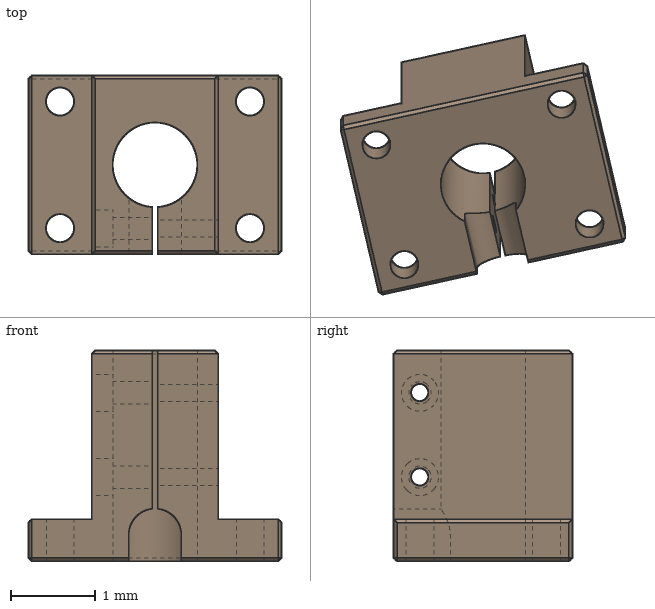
import cadquery as cq

length = 3.0
depth = 2.12
height = 2.5
base_height = 0.5
tower_width = length / 2
edge_chamfer = 0.042

bore_diameter = length / 3
slit_width = 0.06
relief_width = 0.625
relief_height = 0.625

mount_diameter = 0.33
mount_spacing_x = 2.25
mount_spacing_y = 1.5

screw_y = -mount_spacing_y / 2
screw_heights = (height * 2 / 5, height * 4 / 5)
head_diameter = 0.438
head_depth = 0.25
clearance_diameter = 0.265
thread_diameter = 0.2

FROM_BOTTOM = (True, True, False)


def make_body():
    """Flange and tower, chamfered around the end faces, the underside and the top."""
    base = cq.Workplane("XY").box(length, depth, base_height, centered=FROM_BOTTOM)
    base = base.faces("<X or >X or <Z").edges().chamfer(edge_chamfer)
    tower = cq.Workplane("XY").box(tower_width, depth, height, centered=FROM_BOTTOM)
    tower = tower.faces(">Z").edges().chamfer(edge_chamfer)
    tower = tower.faces("<Z").edges("|X").chamfer(edge_chamfer)
    return base.union(tower)


def make_bore():
    return cq.Workplane("XY").circle(bore_diameter / 2).extrude(height)


def make_slit():
    """Narrow cut from the front face into the bore."""
    return cq.Workplane("XY").box(
        slit_width, depth / 2, height, centered=FROM_BOTTOM
    ).translate((0, -depth / 4, 0))


def make_relief():
    """Round-topped opening from the front face into the bore."""
    half_width = relief_width / 2
    spring_height = relief_height - half_width
    return (
        cq.Workplane("XZ")
        .moveTo(-half_width, 0)
        .lineTo(-half_width, spring_height)
        .threePointArc((0, relief_height), (half_width, spring_height))
        .lineTo(half_width, 0)
        .close()
        .extrude(depth / 2)
    )


def make_mount_holes():
    return (
        cq.Workplane("XY")
        .rect(mount_spacing_x, mount_spacing_y, forConstruction=True)
        .vertices()
        .circle(mount_diameter / 2)
        .extrude(base_height)
    )


def screw_cylinder(z, diameter, start_x, end_x):
    return (
        cq.Workplane("YZ", origin=(start_x, screw_y, z))
        .circle(diameter / 2)
        .extrude(end_x - start_x)
    )


def make_screw_hole(z):
    """Counterbore and clearance hole up to the slit, threaded size beyond it."""
    left = -tower_width / 2
    head = screw_cylinder(z, head_diameter, left, left + head_depth)
    clearance = screw_cylinder(z, clearance_diameter, left, 0)
    thread = screw_cylinder(z, thread_diameter, 0, tower_width / 2)
    return head.union(clearance).union(thread)


result = make_body().cut(make_bore()).cut(make_slit()).cut(make_relief()).cut(make_mount_holes())
for screw_z in screw_heights:
    result = result.cut(make_screw_hole(screw_z))